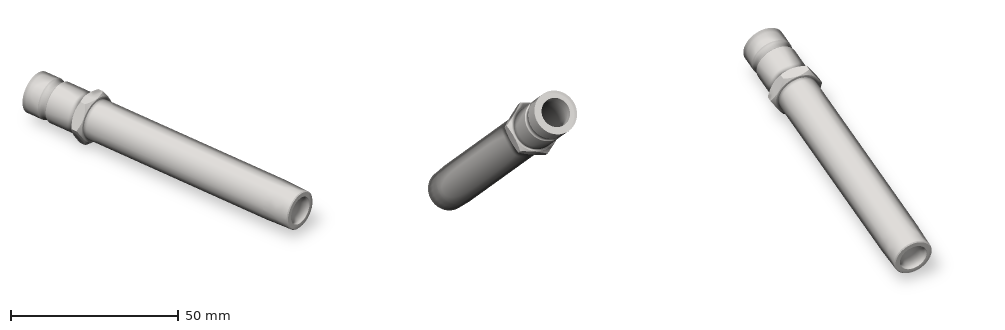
import cadquery as cq
import math

total_length = 100.0
bore_diameter = 9.0

head_radius = 13.5 / 2
groove_start = 5.8
groove_width = 3.0
groove_depth = 0.6

collar_start = 19.0
collar_length = 4.0
collar_across_flats = 15.0
collar_corner_radius = collar_across_flats / math.sqrt(3)
collar_face_radius = 14.7 / 2
collar_chamfer_angle = 40.0

tube_radius = 13.1 / 2
taper_length = 9.0
taper_ratio = 1 / 16
end_chamfer = 0.3

collar_end = collar_start + collar_length
taper_start = total_length - taper_length
end_radius = tube_radius - taper_length * taper_ratio / 2


def revolve_about_x(profile):
    return profile.close().revolve(360, (0, 0, 0), (1, 0, 0))


def make_stem():
    """Head, groove, tube and tapered end as one turned body."""
    groove_middle = groove_start + groove_width / 2
    profile = (
        cq.Workplane("XY")
        .moveTo(0, 0)
        .lineTo(0, head_radius)
        .lineTo(groove_start, head_radius)
        .threePointArc(
            (groove_middle, head_radius - groove_depth),
            (groove_start + groove_width, head_radius),
        )
        .lineTo(collar_start, head_radius)
        .lineTo(collar_start, tube_radius)
        .lineTo(taper_start, tube_radius)
        .lineTo(total_length - end_chamfer, end_radius + end_chamfer * taper_ratio / 2)
        .lineTo(total_length, end_radius - end_chamfer)
        .lineTo(total_length, 0)
    )
    return revolve_about_x(profile)


def make_collar():
    """Hexagon whose corners are turned down by a cone on both faces."""
    hexagon = (
        cq.Workplane("YZ", origin=(collar_start, 0, 0))
        .polygon(6, 2 * collar_corner_radius)
        .extrude(collar_length)
    )
    corner_height = collar_corner_radius - collar_face_radius
    corner_setback = corner_height * math.tan(math.radians(collar_chamfer_angle))
    turned_envelope = revolve_about_x(
        cq.Workplane("XY")
        .moveTo(collar_start, 0)
        .lineTo(collar_start, collar_face_radius)
        .lineTo(collar_start + corner_setback, collar_corner_radius)
        .lineTo(collar_end - corner_setback, collar_corner_radius)
        .lineTo(collar_end, collar_face_radius)
        .lineTo(collar_end, 0)
    )
    return hexagon.intersect(turned_envelope)


def make_bore():
    return cq.Workplane("YZ").circle(bore_diameter / 2).extrude(total_length)


result = make_stem().union(make_collar()).cut(make_bore())